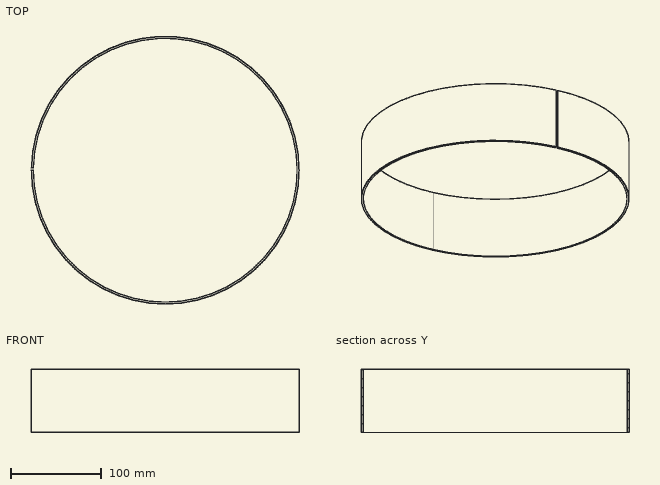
import cadquery as cq
import math

outer_diameter = 295.0
wall_thickness = 2.5
height = 70.0
outer_chamfer = 0.5
inner_chamfer = 0.2
gap_angle = 1.0

outer_radius = outer_diameter / 2
inner_radius = outer_radius - wall_thickness


def make_band():
    """Closed band centred on the origin, with the outer and inner edges of both rims chamfered."""
    band = cq.Workplane("XY").cylinder(height, outer_radius)
    band = band.faces("<Z or >Z").edges().chamfer(outer_chamfer)
    bore = cq.Workplane("XY").cylinder(height, inner_radius)
    inner_rims = cq.selectors.RadiusNthSelector(0)
    return band.cut(bore).edges(inner_rims).chamfer(inner_chamfer)


def make_gap():
    """Wedge with its tip on the Z axis, reaching from the -X axis by the gap angle towards +Y."""
    reach = 2 * outer_radius
    width = reach * math.tan(math.radians(gap_angle))
    wedge = cq.Workplane("XY").polyline([(0, 0), (-reach, 0), (-reach, width)]).close()
    return wedge.extrude(height / 2, both=True)


result = make_band().cut(make_gap())